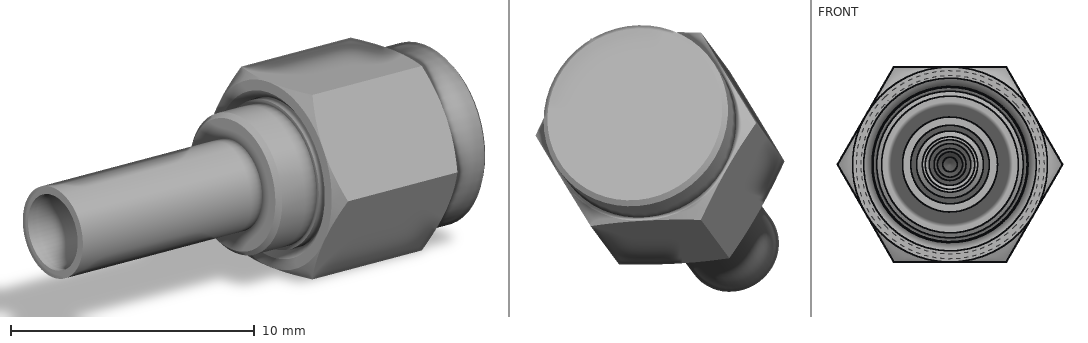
import cadquery as cq
import math


overall_length = 19.9
ferrule_length = 9.5
collar_length = 2.0
hex_length = 6.5
collar_rear_y = ferrule_length
hex_rear_y = collar_rear_y + collar_length
hex_front_y = hex_rear_y + hex_length

hex_across_flats = 8.0
hex_inner_radius = hex_across_flats / 2
hex_corner_radius = hex_inner_radius / math.cos(math.radians(30))
hex_chamfer_angle = 30.0
nose_radius = 3.86
nose_chamfer = 0.2
nut_bore_radius = 3.2
nut_mouth_radius = 3.55
nut_mouth_depth = nut_mouth_radius - nut_bore_radius

collar_radius = 3.0
flange_clearance = 0.04
flange_radius = nut_bore_radius - flange_clearance
collar_chamfer = 0.2
flange_rear_y = hex_rear_y
stem_end_y = 2.98
stem_radius = 1.37
stem_outer_chamfer = 0.24
stem_bore_radius = 0.85
stem_bore_chamfer = 0.15

contact_radius = 0.65
contact_height = 1.0
contact_end_y = collar_rear_y - contact_height
wire_hole_radius = 0.3
wire_hole_depth = 1.99
countersink_radius = 0.52
drill_point_angle = 118.0

ferrule_outer_radius = 1.95
ferrule_bore_radius = 1.61


def revolve_about_y(profile_points):
    """Turn a closed (radius, y) profile fully about the Y axis."""
    profile = cq.Workplane("XY").polyline(profile_points).close()
    return profile.revolve(360, (0, 0, 0), (0, 1, 0))


def make_hex_section():
    """Hexagon with corners on the X axis, its corners chamfered at both ends."""
    prism = (
        cq.Workplane("XZ", origin=(0, hex_rear_y, 0))
        .polygon(6, 2 * hex_corner_radius)
        .extrude(-hex_length)
    )
    cone_drop = (hex_corner_radius - hex_inner_radius) * math.tan(math.radians(hex_chamfer_angle))
    corner_envelope = revolve_about_y([
        (0, hex_rear_y),
        (hex_inner_radius, hex_rear_y),
        (hex_corner_radius, hex_rear_y + cone_drop),
        (hex_corner_radius, hex_front_y - cone_drop),
        (hex_inner_radius, hex_front_y),
        (0, hex_front_y),
    ])
    return prism.intersect(corner_envelope)


def make_nut():
    """Hex coupling nut with a round nose; its bore is flared at the rear and closes on the flange."""
    nose = revolve_about_y([
        (0, hex_front_y),
        (nose_radius, hex_front_y),
        (nose_radius, overall_length - nose_chamfer),
        (nose_radius - nose_chamfer, overall_length),
        (0, overall_length),
    ])
    bore = revolve_about_y([
        (0, hex_rear_y),
        (nut_mouth_radius, hex_rear_y),
        (nut_bore_radius, hex_rear_y + nut_mouth_depth),
        (nut_bore_radius, hex_front_y),
        (flange_radius, hex_front_y),
        (flange_radius, overall_length),
        (0, overall_length),
    ])
    return make_hex_section().union(nose).cut(bore)


def make_body():
    """Turned body: drilled contact, hollow stem, collar and flange in one profile."""
    countersink_depth = countersink_radius - wire_hole_radius
    wire_hole_bottom_y = contact_end_y + wire_hole_depth
    drill_tip_length = wire_hole_radius / math.tan(math.radians(drill_point_angle / 2))
    return revolve_about_y([
        (0, wire_hole_bottom_y + drill_tip_length),
        (wire_hole_radius, wire_hole_bottom_y),
        (wire_hole_radius, contact_end_y + countersink_depth),
        (countersink_radius, contact_end_y),
        (contact_radius, contact_end_y),
        (contact_radius, collar_rear_y),
        (stem_bore_radius, collar_rear_y),
        (stem_bore_radius, stem_end_y + stem_bore_chamfer),
        (stem_bore_radius + stem_bore_chamfer, stem_end_y),
        (stem_radius - stem_outer_chamfer, stem_end_y),
        (stem_radius, stem_end_y + stem_outer_chamfer),
        (stem_radius, collar_rear_y),
        (collar_radius - collar_chamfer, collar_rear_y),
        (collar_radius, collar_rear_y + collar_chamfer),
        (collar_radius, flange_rear_y),
        (flange_radius, flange_rear_y),
        (flange_radius, overall_length),
        (0, overall_length),
    ])


def make_ferrule():
    """Plain crimp tube butting against the rear face of the collar."""
    return revolve_about_y([
        (ferrule_bore_radius, 0),
        (ferrule_outer_radius, 0),
        (ferrule_outer_radius, ferrule_length),
        (ferrule_bore_radius, ferrule_length),
    ])


nut = make_nut()
body = make_body()
ferrule = make_ferrule()

result = cq.Compound.makeCompound([nut.val(), body.val(), ferrule.val()])